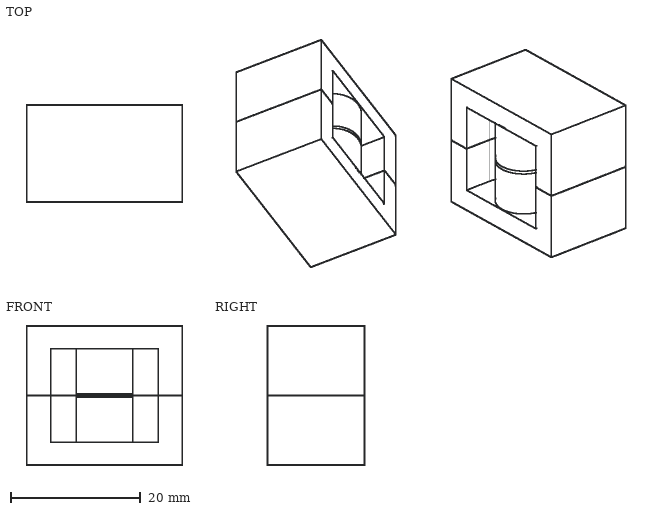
import cadquery as cq

width = 24.0
depth = 14.95
height = 21.4
half_height = height / 2

mating_gap = 0.05
mating_z = -mating_gap / 2

window_width = 16.6
window_radius = window_width / 2
window_height = 14.4
half_window = window_height / 2

post_diameter = 8.75
post_setback = 0.12
post_gap = 0.5
post_height = half_window - post_gap / 2
front_y = -depth / 2
post_y = front_y + post_setback + post_diameter / 2


def make_window():
    """Window space of the lower half, open at its mating face."""
    return (
        cq.Workplane("XY", origin=(0, 0, -half_window))
        .moveTo(-window_radius, front_y)
        .lineTo(-window_radius, post_y)
        .threePointArc((0, post_y + window_radius), (window_radius, post_y))
        .lineTo(window_radius, front_y)
        .close()
        .extrude(half_window + mating_z)
    )


def make_post():
    """Centre post rising from the window floor and stopping short of the mating face."""
    return (
        cq.Workplane("XY", origin=(0, post_y, -half_window))
        .circle(post_diameter / 2)
        .extrude(post_height)
    )


def make_core_half():
    """Lower core half, with its mating face just below Z = 0."""
    block = (
        cq.Workplane("XY", origin=(0, 0, -half_height))
        .rect(width, depth)
        .extrude(half_height + mating_z)
    )
    return block.cut(make_window()).union(make_post())


core_halves = []
for is_upper in (False, True):
    core_half = make_core_half()
    if is_upper:
        core_half = core_half.mirror("XY")
    core_halves.append(core_half.val())

result = cq.Compound.makeCompound(core_halves)